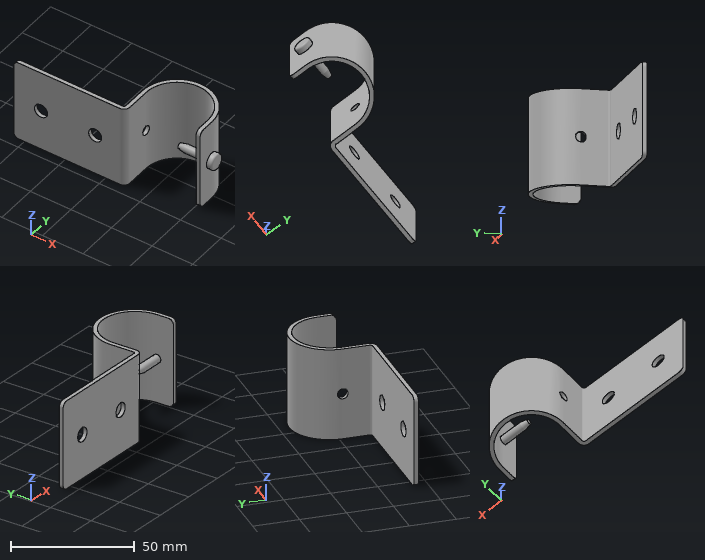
import cadquery as cq

total_length = 90.5
total_depth = 31.5
strip_height = 40.0
thickness = 2.0
outer_radius = 17.2
bend_inner_radius = 1.0
corner_radius = 2.5
free_leg_length = 8.2

mount_hole_diameter = 6.3
first_hole_from_end = 13.5
mount_hole_spacing = 26.7
access_hole_diameter = 4.3

shank_diameter = 3.9
shank_length = 15.8
tip_diameter = 2.5
tip_length = 3.1
head_diameter = 7.5
head_height = 2.8
head_fillet = 0.9

inner_radius = outer_radius - thickness
bend_outer_radius = bend_inner_radius + thickness
plate_front_y = outer_radius - total_depth
plate_back_y = plate_front_y + thickness
plate_end_x = outer_radius + head_height - total_length
bend_center_x = -outer_radius - bend_inner_radius
bend_center_y = plate_back_y + bend_inner_radius
cut_margin = 0.9


def strip_blank():
    """Bent strip: flat plate, rounded bend, straight leg, half circle and free leg."""
    return (
        cq.Workplane("XY")
        .workplane(offset=-strip_height / 2)
        .moveTo(plate_end_x, plate_front_y)
        .lineTo(bend_center_x, plate_front_y)
        .radiusArc((-inner_radius, bend_center_y), -bend_outer_radius)
        .lineTo(-inner_radius, 0)
        .threePointArc((0, inner_radius), (inner_radius, 0))
        .lineTo(inner_radius, -free_leg_length)
        .lineTo(outer_radius, -free_leg_length)
        .lineTo(outer_radius, 0)
        .threePointArc((0, outer_radius), (-outer_radius, 0))
        .lineTo(-outer_radius, bend_center_y)
        .radiusArc((bend_center_x, plate_back_y), bend_inner_radius)
        .lineTo(plate_end_x, plate_back_y)
        .close()
        .extrude(strip_height)
    )


def round_strip_corners(strip):
    """Round the two corners at the plate end and the two at the free leg end."""
    strip = strip.faces("<X").edges("|Y").fillet(corner_radius)
    free_leg_corners = cq.selectors.NearestToPointSelector((outer_radius, -free_leg_length, 0))
    return strip.faces(free_leg_corners).edges("|X").fillet(corner_radius)


def mount_holes():
    """Cutters for the row of fixing holes through the flat plate."""
    first_x = plate_end_x + first_hole_from_end
    return (
        cq.Workplane("XZ", origin=(0, plate_back_y + cut_margin, 0))
        .pushPoints([(first_x, 0), (first_x + mount_hole_spacing, 0)])
        .circle(mount_hole_diameter / 2)
        .extrude(thickness + 2 * cut_margin)
    )


def x_cylinder(diameter, start_x, end_x):
    """Cylinder along the X axis between two X positions."""
    return (
        cq.Workplane("YZ", origin=(start_x, 0, 0))
        .circle(diameter / 2)
        .extrude(end_x - start_x)
    )


def make_bracket():
    """Clamp bracket with fixing holes, an access hole and the screw hole facing it."""
    access_hole = x_cylinder(access_hole_diameter, -outer_radius - cut_margin, 0)
    screw_hole = x_cylinder(shank_diameter, 0, outer_radius + cut_margin)
    bracket = round_strip_corners(strip_blank())
    return bracket.cut(mount_holes()).cut(access_hole).cut(screw_hole)


def make_screw():
    """Screw along X: tapered tip, plain shank and a head seated on the outside of the free leg."""
    tip_x = outer_radius - shank_length
    profile = (
        cq.Workplane("XY")
        .moveTo(tip_x, 0)
        .lineTo(tip_x, tip_diameter / 2)
        .lineTo(tip_x + tip_length, shank_diameter / 2)
        .lineTo(outer_radius, shank_diameter / 2)
        .lineTo(outer_radius, head_diameter / 2)
        .lineTo(outer_radius + head_height, head_diameter / 2)
        .lineTo(outer_radius + head_height, 0)
        .close()
    )
    screw = profile.revolve(360, (0, 0, 0), (1, 0, 0))
    return screw.faces(">X").edges().fillet(head_fillet)


bracket = make_bracket()
screw = make_screw()
result = cq.Compound.makeCompound([bracket.solids().val(), screw.solids().val()])